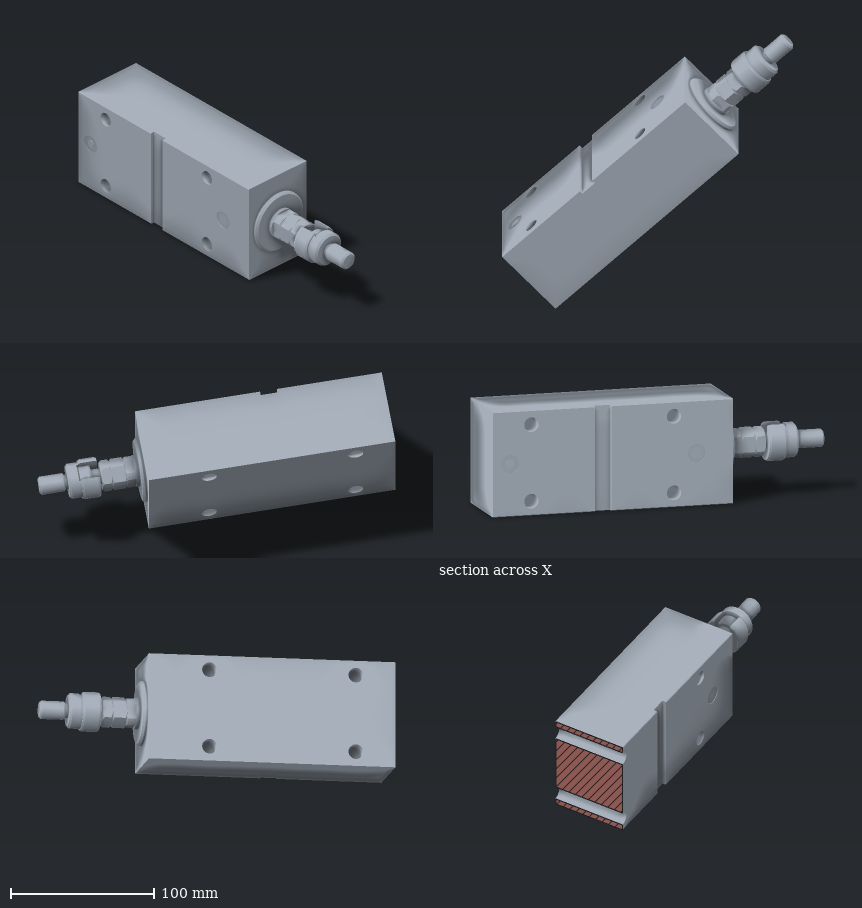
import cadquery as cq
import math


housing_length = 174.8
housing_depth = 55.0
housing_height = 75.0
edge_chamfer = 0.5
groove_start = 74.5
groove_width = 12.0
groove_depth = 3.0
bolt_hole_radius = 5.2
first_bolt_hole_x = 28.0
bolt_hole_pitch_x = 104.0
bolt_hole_pitch_z = 54.5
blind_port_x = 148.5
bossed_port_x = 12.6
port_radius = 6.5
port_depth = 0.5
port_boss_radius = 3.0
front_y = -housing_depth / 2

gland_radius = 22.8
gland_length = 3.0
gland_chamfer = 1.5
gland_face_x = housing_length + gland_length

rod_radius = 11.2
rod_flats_radius = 11.0
rod_collar_length = 2.7
rod_flats_length = 6.5
rod_end_chamfer = 0.7
rod_across_flats = 18.5
rod_flats_x = gland_face_x + rod_collar_length
rod_end_x = rod_flats_x + rod_flats_length

hex_across_flats = 19.0
nut_length = 10.0
nut_chamfer = 1.0
stud_hex_length = 7.5
stud_hex_chamfer = 1.5
stud_hex_x = rod_end_x + nut_length
stud_hex_end_x = stud_hex_x + stud_hex_length

neck_radius = 5.7
neck_length = 6.7
head_radius = 9.7
head_length = 8.2
head_chamfer = 1.5
head_face_x = stud_hex_end_x + neck_length

overall_length = 248.0
socket_face_x = 205.8
large_collar_radius = 14.1
large_collar_length = 13.1
large_chamfer_length = 1.5
large_chamfer_rise = 0.7
small_collar_radius = 12.5
small_collar_length = 9.0
small_chamfer = 1.5
relief_radius = 5.2
relief_length = 1.7
thread_radius = 6.5
thread_start_chamfer = thread_radius - relief_radius
thread_end_chamfer = 1.2
slot_width = 12.6
slot_end_x = 220.5
small_collar_x = socket_face_x + large_collar_length
small_collar_end_x = small_collar_x + small_collar_length
relief_end_x = small_collar_end_x + relief_length


def turned(profile):
    """Revolve (x, radius) points about the X axis; both ends close onto the axis."""
    outline = [(profile[0][0], 0), *profile, (profile[-1][0], 0)]
    return cq.Workplane("XY").polyline(outline).close().revolve(360, (0, 0, 0), (1, 0, 0))


def cylinder_x(start_x, end_x, radius):
    return cq.Workplane("YZ", origin=(start_x, 0, 0)).circle(radius).extrude(end_x - start_x)


def cylinder_y(x, z, radius, depth):
    """Cylinder that goes from the housing's front face inward along +Y."""
    return cq.Workplane("XZ", origin=(x, front_y, z)).circle(radius).extrude(-depth)


def hexagon(start_x, length, chamfer):
    """Hexagonal prism with two corners on +Z and -Z and chamfered corners at both ends."""
    flat_radius = hex_across_flats / 2
    prism = (
        cq.Workplane("YZ", origin=(start_x, 0, 0))
        .polygon(6, hex_across_flats, circumscribed=True)
        .extrude(length)
    )
    end_x = start_x + length
    corner_radius = flat_radius / math.cos(math.pi / 6)
    envelope = turned([
        (start_x, flat_radius),
        (start_x + chamfer, corner_radius),
        (end_x - chamfer, corner_radius),
        (end_x, flat_radius),
    ])
    return prism.intersect(envelope)


def make_housing():
    body = cq.Workplane("XY").box(housing_length, housing_depth, housing_height)
    body = body.translate((housing_length / 2, 0, 0))
    body = body.faces("<Y").edges("|X").chamfer(edge_chamfer)

    groove = cq.Workplane("XY").box(groove_width, 2 * groove_depth, housing_height)
    body = body.cut(groove.translate((groove_start + groove_width / 2, front_y, 0)))

    for x in (first_bolt_hole_x, first_bolt_hole_x + bolt_hole_pitch_x):
        for z in (-bolt_hole_pitch_z / 2, bolt_hole_pitch_z / 2):
            body = body.cut(cylinder_y(x, z, bolt_hole_radius, housing_depth))

    for x in (bossed_port_x, blind_port_x):
        body = body.cut(cylinder_y(x, 0, port_radius, port_depth))
    body = body.union(cylinder_y(bossed_port_x, 0, port_boss_radius, port_depth))

    gland = turned([
        (housing_length, gland_radius),
        (gland_face_x - gland_chamfer, gland_radius),
        (gland_face_x, gland_radius - gland_chamfer),
    ])
    bore = cylinder_x(housing_length, gland_face_x, rod_radius)
    return body.union(gland.cut(bore))


def make_rod():
    collar = cylinder_x(housing_length, rod_flats_x, rod_radius)
    end = cylinder_x(rod_flats_x, rod_end_x, rod_flats_radius).faces(">X").chamfer(rod_end_chamfer)
    square = (
        cq.Workplane("YZ", origin=(rod_flats_x, 0, 0))
        .rect(rod_across_flats, rod_across_flats)
        .extrude(rod_flats_length)
    )
    return collar.union(end.intersect(square))


def make_nut():
    bore = cylinder_x(rod_end_x, stud_hex_x, neck_radius)
    return hexagon(rod_end_x, nut_length, nut_chamfer).cut(bore)


def make_stud():
    shank = cylinder_x(rod_end_x, stud_hex_x, neck_radius)
    neck = cylinder_x(stud_hex_end_x, head_face_x, neck_radius)
    head = turned([
        (head_face_x, head_radius - head_chamfer),
        (head_face_x + head_chamfer, head_radius),
        (head_face_x + head_length, head_radius),
    ])
    return hexagon(stud_hex_x, stud_hex_length, stud_hex_chamfer).union(shank).union(neck).union(head)


def make_socket():
    body = turned([
        (socket_face_x, large_collar_radius - large_chamfer_rise),
        (socket_face_x + large_chamfer_length, large_collar_radius),
        (small_collar_x - large_chamfer_length, large_collar_radius),
        (small_collar_x, large_collar_radius - large_chamfer_rise),
        (small_collar_x, small_collar_radius),
        (small_collar_end_x - small_chamfer, small_collar_radius),
        (small_collar_end_x, small_collar_radius - small_chamfer),
        (small_collar_end_x, relief_radius),
        (relief_end_x, relief_radius),
        (relief_end_x + thread_start_chamfer, thread_radius),
        (overall_length - thread_end_chamfer, thread_radius),
        (overall_length, thread_radius - thread_end_chamfer),
    ])

    slot_length = slot_end_x - socket_face_x
    slot = cylinder_x(socket_face_x, slot_end_x, slot_width / 2)
    slot_walls = cq.Workplane("XY").box(
        slot_length, slot_width, large_collar_radius, centered=(False, True, False)
    )
    slot = slot.union(slot_walls.translate((socket_face_x, 0, 0)))

    chamber = cylinder_x(head_face_x, slot_end_x, head_radius)
    return body.cut(slot).cut(chamber)


housing = make_housing()
rod = make_rod()
nut = make_nut()
stud = make_stud()
socket = make_socket()

result = cq.Compound.makeCompound([
    housing.val(),
    rod.val(),
    nut.val(),
    stud.val(),
    socket.val(),
])